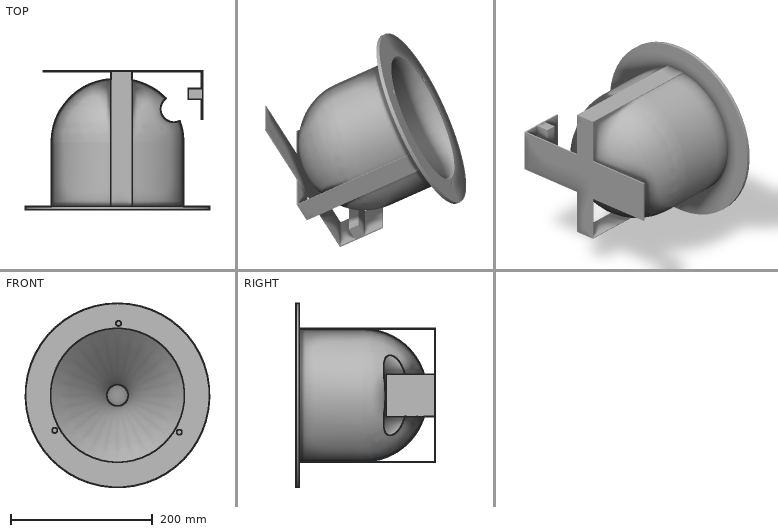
import cadquery as cq
import math

flange_radius = 130.0
flange_thickness = 5.0
body_radius = 93.5
body_length = 180.0
dome_radius = 90.0
body_back = flange_thickness + body_length
dome_start = body_back - dome_radius
dome_flat_radius = body_radius - dome_radius

cone_mouth_radius = 94.5
cone_floor_radius = 15.0
cone_depth = 110.0

hole_count = 3
hole_diameter = 7.5
hole_depth = 1.0
hole_circle_radius = 101.5
hole_start_angle = 89.2

notch_radius = 18.5
notch_x = 79.5
notch_y = 142.5

strap_thickness = 1.0
strap_width = 30.0
strap_center_x = 5.75
strap_inner_z = body_radius
bracket_back = 196.75

plate_thickness = 2.0
plate_width = 60.0
plate_left = -105.0
plate_right = 120.5
leg_front = 128.0
block_length = 19.0
block_width = 15.5
block_center_y = 163.75


def box(x_range, y_range, z_range):
    """Block that fills the given ranges along X, Y and Z."""
    ranges = (x_range, y_range, z_range)
    sizes = [high - low for low, high in ranges]
    corner = tuple(low for low, high in ranges)
    return cq.Workplane("XY").box(*sizes, centered=False).translate(corner)


def turn(profile):
    """Solid turned about the Y axis from a closed profile in the YZ plane."""
    return profile.close().revolve(360, (0, 0, 0), (1, 0, 0))


def make_shell():
    """Flange, cylindrical body and rounded back, turned as one solid."""
    arc_slope = math.sqrt(0.5)
    arc_middle = (dome_start + dome_radius * arc_slope, dome_flat_radius + dome_radius * arc_slope)
    profile = (
        cq.Workplane("YZ")
        .lineTo(0, flange_radius)
        .lineTo(flange_thickness, flange_radius)
        .lineTo(flange_thickness, body_radius)
        .lineTo(dome_start, body_radius)
        .threePointArc(arc_middle, (body_back, dome_flat_radius))
        .lineTo(body_back, 0)
    )
    return turn(profile)


def make_cone():
    """Truncated cone that narrows from the front face to the recess floor."""
    profile = (
        cq.Workplane("YZ")
        .lineTo(0, -cone_mouth_radius)
        .lineTo(cone_depth, -cone_floor_radius)
        .lineTo(cone_depth, 0)
    )
    return turn(profile)


def make_holes():
    """Blind holes, evenly spaced round the flange face."""
    return (
        cq.Workplane("XZ")
        .polarArray(hole_circle_radius, hole_start_angle, 360, hole_count)
        .circle(hole_diameter / 2)
        .extrude(-hole_depth)
    )


def make_housing():
    notch = (
        cq.Workplane("XY")
        .center(notch_x, notch_y)
        .circle(notch_radius)
        .extrude(body_radius, both=True)
    )
    return make_shell().cut(make_cone()).cut(make_holes()).cut(notch)


def make_strap():
    """U-shaped strap whose two ends stand on the back of the flange."""
    outer_z = strap_inner_z + strap_thickness
    x_range = (strap_center_x - strap_width / 2, strap_center_x + strap_width / 2)
    outer = box(x_range, (flange_thickness, bracket_back), (-outer_z, outer_z))
    inner_back = bracket_back - strap_thickness
    inner = box(x_range, (flange_thickness, inner_back), (-strap_inner_z, strap_inner_z))
    return outer.cut(inner)


def make_plate():
    """Plate with a leg bent forward at its +X end and a block inside the leg."""
    z_range = (-plate_width / 2, plate_width / 2)
    leg_inner_x = plate_right - plate_thickness
    back = box((plate_left, plate_right), (bracket_back - plate_thickness, bracket_back), z_range)
    leg = box((leg_inner_x, plate_right), (leg_front, bracket_back), z_range)
    block_y = (block_center_y - block_width / 2, block_center_y + block_width / 2)
    block = box((leg_inner_x - block_length, leg_inner_x), block_y, z_range)
    return back.union(leg).union(block)


housing = make_housing()
bracket = make_strap().union(make_plate())

result = cq.Compound.makeCompound([housing.val(), bracket.val()])